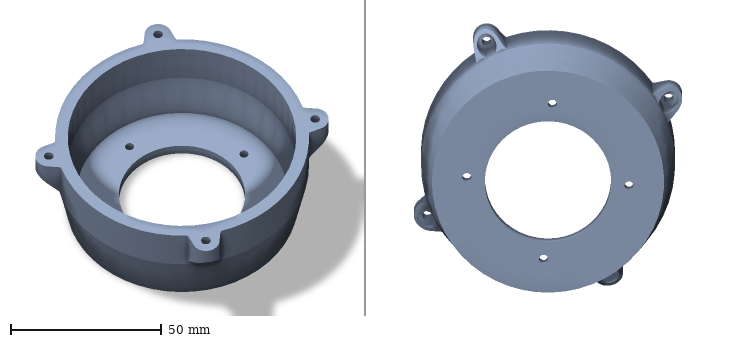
import cadquery as cq
import math

height = 34.0
rim_height = 15.0
rim_outer_radius = 84.5 / 2
rim_bore_radius = 76.0 / 2
floor_thickness = 4.0
base_bore_radius = 70.25 / 2
base_wall = 3.5
base_outer_radius = base_bore_radius + base_wall
rim_bottom_z = height - rim_height

center_hole_radius = 42.0 / 2
floor_hole_radius = 3.0 / 2
floor_hole_circle_radius = 27.0
floor_hole_start_angle = 75.0
floor_hole_count = 4

ear_count = 4
ear_start_angle = 45.0
ear_circle_radius = 45.0
ear_radius = 4.5
ear_tip_radius = ear_circle_radius + ear_radius
ear_flank_angle = 15.0
ear_root_fillet = 3.0
ear_root_circle_radius = 41.4
ear_tip_height = 6.0
ear_slope_angle = 45.0

screw_hole_radius = 3.2 / 2
screw_pocket_radius = 6.5 / 2
screw_seat_z = height - ear_tip_height


def revolve_about_z(profile):
    """Full turn of a closed (radius, z) outline about the Z axis."""
    return cq.Workplane("XZ").polyline(profile).close().revolve(360, (0, 0), (0, 1))


def make_cup_body():
    """Solid bounded by the straight rim and the tapered base."""
    return revolve_about_z([
        (0, 0),
        (base_outer_radius, 0),
        (rim_outer_radius, rim_bottom_z),
        (rim_outer_radius, height),
        (0, height),
    ])


def make_cup_cavity():
    """Space inside the cup: tapered above the floor, straight within the rim."""
    return revolve_about_z([
        (0, floor_thickness),
        (base_bore_radius, floor_thickness),
        (rim_bore_radius, rim_bottom_z),
        (rim_bore_radius, height),
        (0, height),
    ])


def make_floor_openings():
    """Large centre opening and the ring of small holes around it."""
    center_hole = cq.Workplane("XY").circle(center_hole_radius).extrude(floor_thickness)
    small_holes = (
        cq.Workplane("XY")
        .polarArray(floor_hole_circle_radius, floor_hole_start_angle, 360, floor_hole_count)
        .circle(floor_hole_radius)
        .extrude(floor_thickness)
    )
    return center_hole.union(small_holes)


def polar_point(radius, angle, center=(0, 0)):
    """Point at a radius and an angle in radians from a center."""
    return (center[0] + radius * math.cos(angle), center[1] + radius * math.sin(angle))


def mirrored(point):
    """Point reflected across the X axis."""
    return (point[0], -point[1])


def make_ear_prism():
    """Full-height ear on the +X axis: round tip, widening flanks and filleted roots."""
    normal_angle = math.pi / 2 - math.radians(ear_flank_angle)
    tip_tangent = polar_point(ear_radius, normal_angle, (ear_circle_radius, 0))

    fillet_center_radius = ear_root_circle_radius + ear_root_fillet
    fillet_center_offset = ear_circle_radius * math.cos(normal_angle) + ear_radius + ear_root_fillet
    root_angle = normal_angle - math.acos(fillet_center_offset / fillet_center_radius)
    fillet_center = polar_point(fillet_center_radius, root_angle)
    fillet_middle_angle = math.pi + (normal_angle + root_angle) / 2
    flank_end = polar_point(ear_root_fillet, math.pi + normal_angle, fillet_center)
    fillet_middle = polar_point(ear_root_fillet, fillet_middle_angle, fillet_center)
    root = polar_point(ear_root_circle_radius, root_angle)
    inner_corner = (rim_bore_radius, root[1])

    return (
        cq.Workplane("XY")
        .moveTo(*mirrored(root))
        .threePointArc(mirrored(fillet_middle), mirrored(flank_end))
        .lineTo(*mirrored(tip_tangent))
        .threePointArc((ear_tip_radius, 0), tip_tangent)
        .lineTo(*flank_end)
        .threePointArc(fillet_middle, root)
        .lineTo(*inner_corner)
        .lineTo(*mirrored(inner_corner))
        .close()
        .extrude(height)
    )


def make_screw_hole():
    """Screw hole on the +X axis with a wider pocket that opens downward."""
    axis = cq.Workplane("XY").center(ear_circle_radius, 0)
    hole = axis.circle(screw_hole_radius).extrude(height)
    pocket = axis.circle(screw_pocket_radius).extrude(screw_seat_z)
    return hole.union(pocket)


def make_ear():
    """Drilled ear on the +X axis; its underside is a cone about Z running down to the rim."""
    tip_z = height - ear_tip_height
    slope_drop = (ear_tip_radius - rim_bore_radius) * math.tan(math.radians(ear_slope_angle))
    envelope = revolve_about_z([
        (rim_bore_radius, height),
        (ear_tip_radius, height),
        (ear_tip_radius, tip_z),
        (rim_bore_radius, tip_z - slope_drop),
    ])
    return make_ear_prism().intersect(envelope).cut(make_screw_hole())


def add_ears(body):
    """Body with the ears spread evenly around it."""
    ear = make_ear()
    for index in range(ear_count):
        angle = ear_start_angle + index * 360 / ear_count
        body = body.union(ear.rotate((0, 0, 0), (0, 0, 1), angle))
    return body


cup = add_ears(make_cup_body())
result = cup.cut(make_cup_cavity()).cut(make_floor_openings())